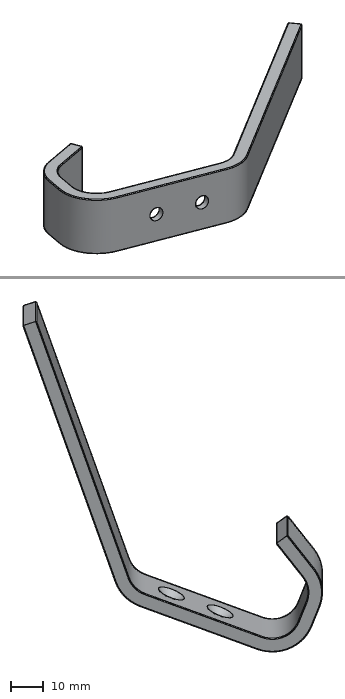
import cadquery as cq
import math

bar_width = 19.0
bar_thickness = 4.5
edge_chamfer = 0.3

inner_radius = 8.5
outer_radius = inner_radius + bar_thickness
lip_bend = 58.0
corner_bend = 90.0
arm_bend = 50.0

total_height = 117.9
lip_length = 13.5
base_length = 6.8
back_top = 51.5
back_length = back_top - outer_radius
arm_bend_rise = outer_radius * math.sin(math.radians(arm_bend))
corner_trim = edge_chamfer * math.cos(math.radians(arm_bend))
arm_rise = total_height - back_top - arm_bend_rise + corner_trim
arm_length = arm_rise / math.cos(math.radians(arm_bend))

hole_diameter = 4.5
sink_diameter = 8.5
sink_angle = 90.0
hole_spacing = 16.0
lower_hole_height = 26.9

stretches = [
    (lip_length, lip_bend),
    (base_length, corner_bend),
    (back_length, arm_bend),
    (arm_length, 0.0),
]


def polar(length, degrees):
    angle = math.radians(degrees)
    return cq.Vector(length * math.cos(angle), length * math.sin(angle))


def lip_tip():
    """Outer corner of the lip, with the back on X = 0 and the base on Y = 0."""
    bend_end = cq.Vector(-outer_radius - base_length, 0)
    bend_center = bend_end + cq.Vector(0, outer_radius)
    bend_start = bend_center + polar(outer_radius, -90 - lip_bend)
    return bend_start - polar(lip_length, -lip_bend)


def bar_profile():
    """Outer face from lip to arm, then the inner face back to the lip."""
    heading = -lip_bend
    position = lip_tip()
    outer = cq.Workplane("XY").moveTo(position.x, position.y)
    inner_steps = []
    for length, bend in stretches:
        inner_line_start = position + polar(bar_thickness, heading + 90)
        inner_steps.append(("line", inner_line_start, None))
        position = position + polar(length, heading)
        outer = outer.lineTo(position.x, position.y)
        if bend:
            center = position + polar(outer_radius, heading + 90)
            middle = center + polar(outer_radius, heading - 90 + bend / 2)
            inner_middle = center + polar(inner_radius, heading - 90 + bend / 2)
            inner_bend_start = position + polar(bar_thickness, heading + 90)
            inner_steps.append(("arc", inner_bend_start, inner_middle))
            heading += bend
            position = center + polar(outer_radius, heading - 90)
            outer = outer.threePointArc(middle.toTuple()[:2], position.toTuple()[:2])
    inner_end = position + polar(bar_thickness, heading + 90)
    profile = outer.lineTo(inner_end.x, inner_end.y)
    for kind, end, middle in reversed(inner_steps):
        if kind == "arc":
            profile = profile.threePointArc(middle.toTuple()[:2], end.toTuple()[:2])
        else:
            profile = profile.lineTo(end.x, end.y)
    return profile.close()


def is_end_face(face):
    return face.geomType() == "PLANE" and math.isclose(face.Area(), bar_thickness * bar_width)


def hook_bar():
    """Bent bar with a chamfer all around its inner and outer faces."""
    bar = bar_profile().extrude(bar_width)
    long_edges = bar.faces("<Z or >Z").edges().filter(
        lambda edge: not math.isclose(edge.Length(), bar_thickness)
    )
    end_corners = bar.faces().filter(is_end_face).edges("|Z")
    return long_edges.add(end_corners).chamfer(edge_chamfer)


def drill_back(bar):
    """Screw holes sunk from the inner face of the back."""
    hole_heights = [lower_hole_height, lower_hole_height + hole_spacing]
    inner_face = cq.Plane(origin=(-bar_thickness, 0, bar_width / 2), xDir=(0, -1, 0), normal=(-1, 0, 0))
    return (
        bar.copyWorkplane(cq.Workplane(inner_face))
        .pushPoints([(-height, 0) for height in hole_heights])
        .cskHole(hole_diameter, sink_diameter, sink_angle, depth=bar_thickness)
    )


result = drill_back(hook_bar())